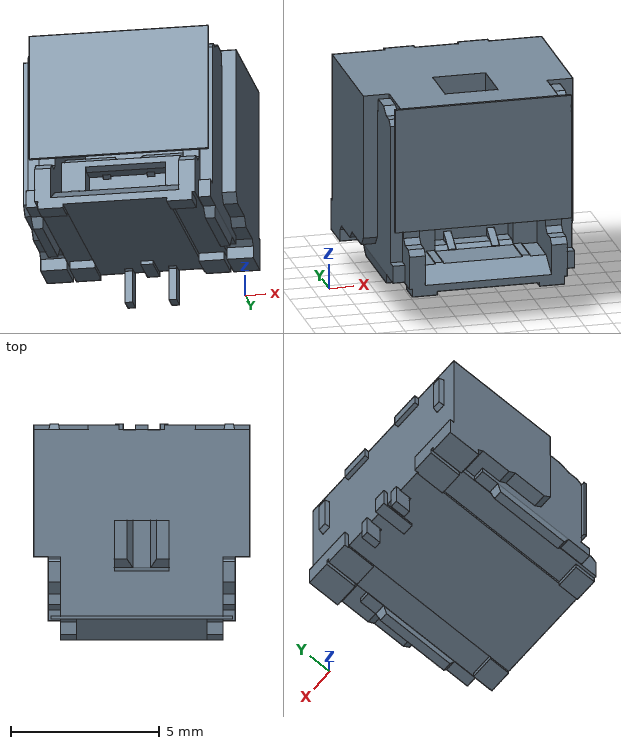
import cadquery as cq
import math


CORE_HALF_WIDTH = 2.75
BODY_HALF_WIDTH = 7.3 / 2
CORE_FRONT = 0.815
BODY_FRONT = 2.81
BACK = 7.11
SOLDER_PLANE = 7.3
TOP = 6.33
FLOOR_UNDERSIDE = 0.13

CAVITY_HALF_WIDTH = 2.2
CAVITY_FLOOR = 0.84
CAVITY_BACK = 6.51
ROOF_THICKNESS = 0.905
CAVITY_TOP = TOP - ROOF_THICKNESS
LIP_EDGE_HEIGHT = 0.385
LIP_DEPTH = 0.755
RAIL_WIDTH = 0.29
RAIL_HEIGHT = 0.03

CHEEK_TOP = 1.64
CHEEK_CHAMFER = 0.2

FOOT_INNER = 1.78
REAR_FOOT_FRONT = 6.01
REAR_LEDGE_TOP = 1.095
BACK_STEP = 0.16
SLOT_WIDTH = 0.1
SLOT_HEIGHT = 0.28
KEY_HALF_WIDTH = 0.21

STEP_START_HEIGHT = 0.415
STEP_LOW_HEIGHT = 0.61
STEP_LOW_FRONT = 4.66
STEP_HIGH_HEIGHT = 0.9
STEP_HIGH_FRONT = 3.09
STEP_END_HEIGHT = 1.22

WINDOW_HALF_WIDTH = 0.92
WINDOW_FRONT = 2.34
WINDOW_LENGTH = 1.71
PAD_INNER = 0.76
PAD_OUTER = 1.81
PAD_BOTTOM = 5.75

BLOCK_FRONT = 2.0
BLOCK_TOP = 2.71
BLOCK_SHOULDER = 2.445
SHOULDER_TILT = 11.3
BLOCK_CHAMFER_LENGTH = 0.295
BLOCK_CHAMFER_HEIGHT = 0.265
CHANNEL_HALF_WIDTH = 0.3
CHANNEL_SPREAD = 0.2
SOCKET_HALF_WIDTH = 1.37
SOCKET_BOTTOM = 0.97
SOCKET_TOP = 2.02
SOCKET_BACK = 2.72
LEAD_IN_RISE = 0.13
LEAD_IN_LENGTH = 0.205

CONTACT_PITCH = 1.51
CONTACT_WIDTH = 0.265
LOWER_TIP_OVERHANG = 0.02
LOWER_TIP_FRONT = BLOCK_FRONT - LOWER_TIP_OVERHANG
LOWER_TIP_START = 0.87
LOWER_TIP_END = 1.25
UPPER_TIP_END = 1.925
UPPER_TIP_LENGTH = 0.17
PIN_FRONT = 6.72
PIN_BOTTOM = -1.06
PIN_TOP = 0.2
PIN_BEND_HEIGHT = 0.06

NAIL_OUTER = 3.16
NAIL_BOTTOM = 0.32
NAIL_TOP = 6.23
NAIL_FRONT = 1.01
NAIL_TOE_FRONT = 0.65
NAIL_TOE_TOP = 0.93
NAIL_REAR = 5.41
NAIL_FREE_REAR = 2.74
NAIL_JOIN_TOP = 5.77
NAIL_SHOULDER_TOP = 6.0
NAIL_SHOULDER_CHAMFER = 0.19
NAIL_SLOPE_FRONT = 1.555
NAIL_SLOPE_REAR = 1.96
NAIL_REAR_CHAMFER = 0.09
NAIL_FOOT_BOTTOM = -0.06
NAIL_FOOT_FRONT = 1.58
NAIL_FOOT_REAR = 4.735
NAIL_FOOT_TAPER = 0.165
NAIL_SIDE_TAPER = 0.045
TAB_INNER = 2.78
TAB_OUTER = 3.13
TAB_BOTTOM = 3.435
TAB_TOP = 5.58
TAB_TAPER = 0.07
TAB_SIDE_TAPER = 0.03

COVER_HALF_WIDTH = 6.14 / 2
COVER_THICKNESS = 0.105
COVER_BOTTOM = 2.09
COVER_TOP = 6.49


def block(x_range, y_range, z_range):
    """Box between the two limits given on each axis."""
    limits = (x_range, y_range, z_range)
    sizes = [high - low for low, high in limits]
    corner = cq.Vector(*[low for low, high in limits])
    return cq.Workplane("XY").box(*sizes, centered=False).translate(corner)


def side_prism(points, x_start, x_end):
    """Outline of (y, z) points extruded along X."""
    plane = cq.Workplane("YZ", origin=(x_start, 0, 0))
    return plane.polyline(points).close().extrude(x_end - x_start)


def both_sides(shape):
    """A shape together with its mirror image across the middle plane."""
    return shape.union(shape.mirror("YZ"))


def wide_body():
    low_rise = STEP_LOW_HEIGHT - STEP_START_HEIGHT
    ramp = STEP_HIGH_HEIGHT - STEP_LOW_HEIGHT
    outline = [
        (BODY_FRONT, TOP),
        (BODY_FRONT, STEP_END_HEIGHT),
        (STEP_HIGH_FRONT, STEP_HIGH_HEIGHT),
        (STEP_LOW_FRONT - ramp, STEP_HIGH_HEIGHT),
        (STEP_LOW_FRONT, STEP_LOW_HEIGHT),
        (REAR_FOOT_FRONT - low_rise, STEP_LOW_HEIGHT),
        (REAR_FOOT_FRONT, STEP_START_HEIGHT),
        (REAR_FOOT_FRONT, 0),
        (BACK, 0),
        (BACK, TOP),
    ]
    return side_prism(outline, CORE_HALF_WIDTH, BODY_HALF_WIDTH)


def core():
    outline = [
        (0, 0),
        (0, CHEEK_TOP - CHEEK_CHAMFER),
        (CHEEK_CHAMFER, CHEEK_TOP),
        (CORE_FRONT - CHEEK_CHAMFER, CHEEK_TOP),
        (CORE_FRONT, CHEEK_TOP + CHEEK_CHAMFER),
        (CORE_FRONT, TOP),
        (BACK, TOP),
        (BACK, 0),
    ]
    return side_prism(outline, -CORE_HALF_WIDTH, CORE_HALF_WIDTH)


def underside_cuts():
    between_feet = block((FOOT_INNER, CORE_HALF_WIDTH), (CORE_FRONT, REAR_FOOT_FRONT), (0, SLOT_HEIGHT))
    middle = block((-FOOT_INNER, FOOT_INNER), (0, BACK), (0, FLOOR_UNDERSIDE))
    slot = block((CORE_HALF_WIDTH - SLOT_WIDTH, CORE_HALF_WIDTH), (0, BACK + BACK_STEP), (0, SLOT_HEIGHT))
    return middle.union(both_sides(between_feet.union(slot)))


def back_features():
    back_range = (BACK, BACK + BACK_STEP)
    ledge = block((PAD_OUTER, BODY_HALF_WIDTH), back_range, (0, REAR_LEDGE_TOP))
    pad = block((PAD_INNER, PAD_OUTER), back_range, (PAD_BOTTOM, TOP))
    return both_sides(ledge.union(pad))


def locating_key():
    y_range = (REAR_FOOT_FRONT, BACK + BACK_STEP)
    return block((-KEY_HALF_WIDTH, KEY_HALF_WIDTH), y_range, (0, REAR_LEDGE_TOP))


def cavity():
    outline = [
        (0, LIP_EDGE_HEIGHT),
        (LIP_DEPTH, CAVITY_FLOOR),
        (CAVITY_BACK, CAVITY_FLOOR),
        (CAVITY_BACK, CAVITY_TOP),
        (0, CAVITY_TOP),
    ]
    return side_prism(outline, -CAVITY_HALF_WIDTH, CAVITY_HALF_WIDTH)


def latch_window():
    y_range = (WINDOW_FRONT, WINDOW_FRONT + WINDOW_LENGTH)
    return block((-WINDOW_HALF_WIDTH, WINDOW_HALF_WIDTH), y_range, (CAVITY_TOP, TOP))


def floor_rail():
    """Low rail on the cavity floor; its nose continues the slope of the lip."""
    nose = LIP_DEPTH * RAIL_HEIGHT / (CAVITY_FLOOR - LIP_EDGE_HEIGHT)
    outline = [
        (LIP_DEPTH, CAVITY_FLOOR),
        (LIP_DEPTH + nose, CAVITY_FLOOR + RAIL_HEIGHT),
        (BLOCK_FRONT, CAVITY_FLOOR + RAIL_HEIGHT),
        (BLOCK_FRONT, CAVITY_FLOOR),
    ]
    return side_prism(outline, SOCKET_HALF_WIDTH, SOCKET_HALF_WIDTH + RAIL_WIDTH)


def socket_block():
    """Block filling the cavity bottom, with a channel in its top and a socket in its front."""
    shoulder_height = BLOCK_TOP - BLOCK_CHAMFER_HEIGHT
    shoulder_drop = (BLOCK_SHOULDER - BLOCK_FRONT) * math.tan(math.radians(SHOULDER_TILT))
    outline = [
        (BLOCK_FRONT, CAVITY_FLOOR),
        (BLOCK_FRONT, shoulder_height - shoulder_drop),
        (BLOCK_SHOULDER, shoulder_height),
        (BLOCK_SHOULDER + BLOCK_CHAMFER_LENGTH, BLOCK_TOP),
        (CAVITY_BACK, BLOCK_TOP),
        (CAVITY_BACK, CAVITY_FLOOR),
    ]
    body = side_prism(outline, -CAVITY_HALF_WIDTH, CAVITY_HALF_WIDTH)

    channel_top = CHANNEL_HALF_WIDTH + CHANNEL_SPREAD
    channel_outline = [
        (-CHANNEL_HALF_WIDTH, shoulder_height),
        (-channel_top, BLOCK_TOP),
        (channel_top, BLOCK_TOP),
        (CHANNEL_HALF_WIDTH, shoulder_height),
    ]
    plane = cq.Workplane("XZ", origin=(0, BLOCK_SHOULDER, 0))
    channel = plane.polyline(channel_outline).close().extrude(BLOCK_SHOULDER - CAVITY_BACK)

    socket_outline = [
        (BLOCK_FRONT, SOCKET_BOTTOM - LEAD_IN_RISE),
        (BLOCK_FRONT + LEAD_IN_LENGTH, SOCKET_BOTTOM),
        (SOCKET_BACK, SOCKET_BOTTOM),
        (SOCKET_BACK, SOCKET_TOP),
        (BLOCK_FRONT + LEAD_IN_LENGTH, SOCKET_TOP),
        (BLOCK_FRONT, SOCKET_TOP + LEAD_IN_RISE),
    ]
    socket = side_prism(socket_outline, -SOCKET_HALF_WIDTH, SOCKET_HALF_WIDTH)
    return body.cut(channel).cut(socket)


def contact(x_middle):
    """Lower and upper ramps inside the socket, and the lead below the housing."""
    x_start = x_middle - CONTACT_WIDTH / 2
    x_end = x_middle + CONTACT_WIDTH / 2
    lower_outline = [
        (LOWER_TIP_FRONT, CAVITY_FLOOR),
        (LOWER_TIP_FRONT, LOWER_TIP_START),
        (SOCKET_BACK, LOWER_TIP_END),
        (SOCKET_BACK, CAVITY_FLOOR),
    ]
    upper_outline = [
        (SOCKET_BACK, UPPER_TIP_END),
        (SOCKET_BACK - UPPER_TIP_LENGTH, SOCKET_TOP),
        (SOCKET_BACK, SOCKET_TOP),
    ]
    bend = PIN_TOP - PIN_BEND_HEIGHT
    lead_outline = [
        (SOLDER_PLANE, PIN_BOTTOM),
        (SOLDER_PLANE, PIN_TOP),
        (PIN_FRONT - bend, PIN_TOP),
        (PIN_FRONT, PIN_BEND_HEIGHT),
        (PIN_FRONT, PIN_BOTTOM),
    ]
    lower = side_prism(lower_outline, x_start, x_end)
    upper = side_prism(upper_outline, x_start, x_end)
    lead = side_prism(lead_outline, x_start, x_end)
    return lower.union(upper).union(lead)


def nail_plate():
    outline = [
        (NAIL_TOE_FRONT, NAIL_BOTTOM),
        (NAIL_TOE_FRONT, NAIL_TOE_TOP),
        (NAIL_FRONT, NAIL_TOE_TOP),
        (NAIL_FRONT, NAIL_SHOULDER_TOP - NAIL_SHOULDER_CHAMFER),
        (NAIL_FRONT + NAIL_SHOULDER_CHAMFER, NAIL_SHOULDER_TOP),
        (NAIL_SLOPE_FRONT, NAIL_SHOULDER_TOP),
        (NAIL_SLOPE_REAR, NAIL_TOP),
        (NAIL_FREE_REAR - NAIL_REAR_CHAMFER, NAIL_TOP),
        (NAIL_FREE_REAR, NAIL_TOP - NAIL_REAR_CHAMFER),
        (NAIL_FREE_REAR, NAIL_JOIN_TOP),
        (BODY_FRONT, NAIL_JOIN_TOP),
        (BODY_FRONT, STEP_END_HEIGHT),
        (NAIL_REAR, STEP_END_HEIGHT),
        (NAIL_REAR, NAIL_BOTTOM),
    ]
    return side_prism(outline, CORE_HALF_WIDTH, NAIL_OUTER)


def nail_foot():
    """Tapered foot under the nail."""
    length = NAIL_FOOT_REAR - NAIL_FOOT_FRONT
    width = NAIL_OUTER - CORE_HALF_WIDTH
    x_middle = (NAIL_OUTER + CORE_HALF_WIDTH) / 2
    y_middle = (NAIL_FOOT_FRONT + NAIL_FOOT_REAR) / 2
    return (
        cq.Workplane("XY", origin=(x_middle, y_middle, NAIL_BOTTOM))
        .rect(width, length)
        .workplane(offset=NAIL_FOOT_BOTTOM - NAIL_BOTTOM)
        .rect(width - 2 * NAIL_SIDE_TAPER, length - 2 * NAIL_FOOT_TAPER)
        .loft(ruled=True)
    )


def nail_tab():
    """Tapered solder tab standing out of the back."""
    width = TAB_OUTER - TAB_INNER
    height = TAB_TOP - TAB_BOTTOM
    x_middle = (TAB_INNER + TAB_OUTER) / 2
    z_middle = (TAB_BOTTOM + TAB_TOP) / 2
    return (
        cq.Workplane("XZ", origin=(x_middle, BACK, z_middle))
        .rect(width, height)
        .workplane(offset=BACK - SOLDER_PLANE)
        .rect(width - 2 * TAB_SIDE_TAPER, height - 2 * TAB_TAPER)
        .loft(ruled=True)
    )


def connector():
    """Housing with its contacts and fitting nails as one solid."""
    shell = core().union(both_sides(wide_body())).union(back_features())
    shell = shell.cut(underside_cuts()).cut(cavity()).cut(latch_window())
    shell = shell.union(locating_key()).union(socket_block()).union(both_sides(floor_rail()))
    nail = nail_plate().union(nail_foot()).union(nail_tab())
    shell = shell.union(both_sides(nail))
    for x_middle in (-CONTACT_PITCH / 2, CONTACT_PITCH / 2):
        shell = shell.union(contact(x_middle))
    return shell


def cover():
    """Flat sheet against the front of the housing."""
    y_range = (CORE_FRONT - COVER_THICKNESS, CORE_FRONT)
    return block((-COVER_HALF_WIDTH, COVER_HALF_WIDTH), y_range, (COVER_BOTTOM, COVER_TOP))


connector_body = connector().solids()
cover_sheet = cover()
result = cq.Compound.makeCompound([connector_body.val(), cover_sheet.val()])